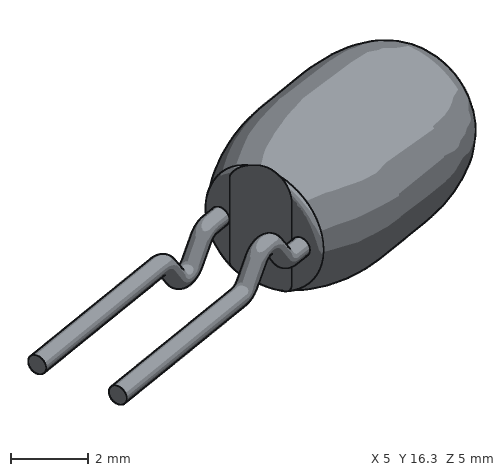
import cadquery as cq
import math

total_length = 16.26
body_length = 7.82
body_radius = 2.5

dome_length = 2.95
band_length = 2.08
dome_flank_radius = 4.88
dome_crown_radius = 1.82
lower_flank_radius = 5.37
base_edge_height = 0.21
base_edge_radius = 1.84
base_radius = 1.65

groove_half_width = 0.98
groove_depth = 0.26

lead_diameter = 0.57
lead_spacing = 2.54
lead_embed = 0.98
bend_start = -0.49
bend_length = 2.39
bend_half_length = bend_length / 2
bend_offset = 0.95
bend_radius = 0.49


def polar(center, radius, angle):
    """Point at an angle (radians) on a circle."""
    return (center[0] + radius * math.cos(angle), center[1] + radius * math.sin(angle))


def make_body():
    """Revolve a barrel with a straight band, a domed end and a rounded base edge."""
    band_top = body_length - dome_length
    band_bottom = band_top - band_length

    flank_center = (body_radius - dome_flank_radius, band_top)
    crown_center_y = body_length - dome_crown_radius
    join_angle = math.asin((crown_center_y - band_top) / (dome_flank_radius - dome_crown_radius))
    crown_center = polar(flank_center, dome_flank_radius - dome_crown_radius, join_angle)
    dome_join = polar(flank_center, dome_flank_radius, join_angle)
    dome_flank_mid = polar(flank_center, dome_flank_radius, join_angle / 2)
    crown_mid = polar(crown_center, dome_crown_radius, (join_angle + math.pi / 2) / 2)
    crown_end = (crown_center[0], body_length)

    profile = (
        cq.Workplane("XY")
        .lineTo(base_radius, 0)
        .radiusArc((base_edge_radius, base_edge_height), -base_edge_height)
        .radiusArc((body_radius, band_bottom), -lower_flank_radius)
        .lineTo(body_radius, band_top)
        .threePointArc(dome_flank_mid, dome_join)
        .threePointArc(crown_mid, crown_end)
        .lineTo(0, body_length)
        .close()
    )
    return profile.revolve(360, (0, 0, 0), (0, 1, 0))


def make_groove():
    """Shallow arched channel through the base, running along Z."""
    return (
        cq.Workplane("XY")
        .moveTo(-groove_half_width, 0)
        .threePointArc((0, groove_depth), (groove_half_width, 0))
        .close()
        .extrude(body_radius, both=True)
    )


def make_lead(x, side):
    """Round wire at x with one kink, towards +Z (side = 1) or -Z (side = -1)."""
    rise = bend_offset - 2 * bend_radius
    center_distance = math.hypot(bend_half_length, rise)
    bend_angle = math.atan2(rise, bend_half_length) + math.asin(2 * bend_radius / center_distance)

    def arc_point(angle):
        return bend_radius * math.sin(angle), bend_radius * (1 - math.cos(angle))

    mid_run, mid_rise = arc_point(bend_angle / 2)
    end_run, end_rise = arc_point(bend_angle)
    peak_start_run = bend_half_length - end_run
    peak_end_run = bend_half_length + end_run
    peak_end_height = bend_offset - end_rise

    def at(run, height):
        """Point on the YZ plane, measured along the lead from the bend start."""
        return bend_start - run, side * height

    path = (
        cq.Workplane("YZ", origin=(x, 0, 0))
        .moveTo(lead_embed, 0)
        .lineTo(*at(0, 0))
        .threePointArc(at(mid_run, mid_rise), at(end_run, end_rise))
        .lineTo(*at(peak_start_run, peak_end_height))
        .threePointArc(at(bend_half_length, bend_offset), at(peak_end_run, peak_end_height))
        .lineTo(*at(bend_length - end_run, end_rise))
        .threePointArc(at(bend_length - mid_run, mid_rise), at(bend_length, 0))
        .lineTo(body_length - total_length, 0)
    )
    section = cq.Workplane("XZ", origin=(x, lead_embed, 0)).circle(lead_diameter / 2)
    return section.sweep(path)


result = make_body().cut(make_groove())
for side in (-1, 1):
    result = result.union(make_lead(side * lead_spacing / 2, side))